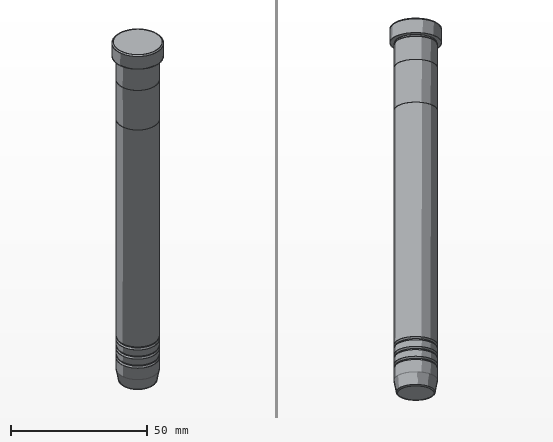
import cadquery as cq

total_length = 146.0
shank_radius = 8.0
head_radius = 9.5
head_height = 6.0
head_chamfer = 0.51

head_body_length = 16.0
collar_length = 17.1

relief_height = 0.6
relief_depth = 0.3

groove_count = 3
lowest_groove_height = 10.7
groove_pitch = 4.0
groove_width = 1.3
groove_depth = 0.5

lead_in_height = 5.1
lead_in_end_radius = 7.2
tip_chamfer = 0.5

head_bottom = total_length - head_height
relief_bottom = head_bottom - relief_height
collar_top = total_length - head_body_length
collar_bottom = collar_top - collar_length


def make_head():
    """Chamfered head with a short neck and a relief groove below the head."""
    relief_radius = shank_radius - relief_depth
    return (
        cq.Workplane("XZ")
        .moveTo(0, collar_top)
        .lineTo(shank_radius, collar_top)
        .lineTo(shank_radius, relief_bottom - relief_depth)
        .lineTo(relief_radius, relief_bottom)
        .lineTo(relief_radius, head_bottom)
        .lineTo(head_radius, head_bottom)
        .lineTo(head_radius, total_length - head_chamfer)
        .lineTo(head_radius - head_chamfer, total_length)
        .lineTo(0, total_length)
        .close()
        .revolve(360, (0, 0, 0), (0, 1, 0))
    )


def make_collar():
    """Plain cylinder between the head and the pin."""
    return cq.Workplane("XY").workplane(offset=collar_bottom).circle(shank_radius).extrude(collar_length)


def make_pin():
    """Long pin with V grooves and a tapered lead-in with a chamfered tip."""
    profile = (
        cq.Workplane("XZ")
        .moveTo(0, collar_bottom)
        .lineTo(shank_radius, collar_bottom)
    )
    for index in reversed(range(groove_count)):
        groove_middle = lowest_groove_height + index * groove_pitch
        profile = (
            profile
            .lineTo(shank_radius, groove_middle + groove_width / 2)
            .lineTo(shank_radius - groove_depth, groove_middle)
            .lineTo(shank_radius, groove_middle - groove_width / 2)
        )
    return (
        profile
        .lineTo(shank_radius, lead_in_height)
        .lineTo(lead_in_end_radius, tip_chamfer)
        .lineTo(lead_in_end_radius - tip_chamfer, 0)
        .lineTo(0, 0)
        .close()
        .revolve(360, (0, 0, 0), (0, 1, 0))
    )


head = make_head()
collar = make_collar()
pin = make_pin()

result = cq.Compound.makeCompound([head.val(), collar.val(), pin.val()])